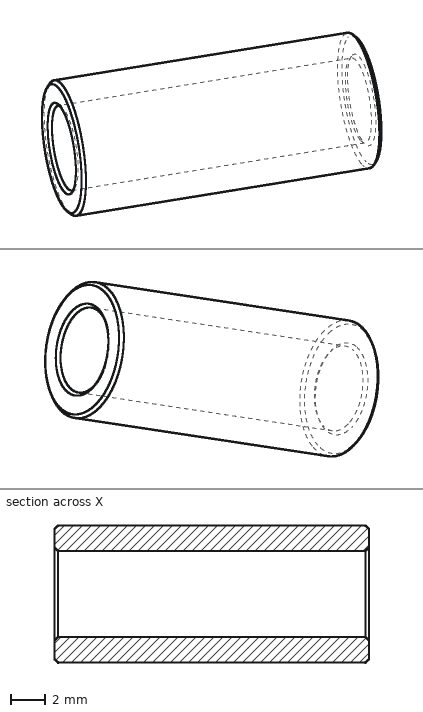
import cadquery as cq

length = 18.3
outer_diameter = 8.0
bore_diameter = 5.0
edge_chamfer = 0.2

sleeve = (
    cq.Workplane("XZ", origin=(0, length / 2, 0))
    .circle(outer_diameter / 2)
    .circle(bore_diameter / 2)
    .extrude(length)
)

result = sleeve.faces("<Y or >Y").edges().chamfer(edge_chamfer)